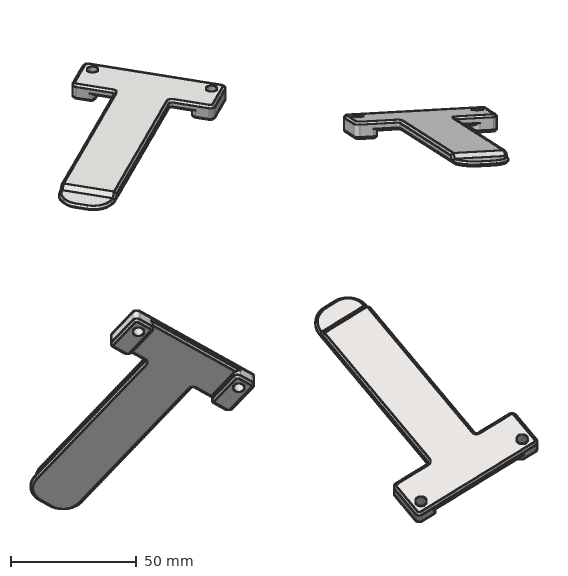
import cadquery as cq

head_width = 59.4
head_depth = 18.0
total_length = 102.0
total_height = 7.0
plate_thickness = 4.0
stem_width = 23.0

edge_chamfer = 1.0
corner_radius = 2 * edge_chamfer
neck_radius = 1.0

tip_radius = 9.0
tip_land = 0.01
slope_gap = 0.1
tip_thickness = 2 * edge_chamfer + tip_land

foot_width = 9.6
hole_diameter = 4.5
hole_inset = 4.9

plate_bottom = -plate_thickness
tip_top = plate_bottom + tip_thickness
slope_foot_y = -total_length + tip_radius + slope_gap
slope_rise = -tip_top


def block(width, depth, z_low, z_high, x_center=0.0, y_back=0.0):
    """Box given by its width, depth, height range and back edge."""
    return (
        cq.Workplane("XY", origin=(x_center, y_back - depth / 2, z_low))
        .rect(width, depth)
        .extrude(z_high - z_low)
    )


def make_plate():
    """T-shaped plate, its head still square, with a 45 degree step down to the rounded tip."""
    head = block(head_width, head_depth, plate_bottom, 0)
    stem = block(stem_width, total_length, plate_bottom, 0)
    stem = stem.edges("|Z and <Y").fillet(tip_radius)
    plate = head.union(stem)

    neck_edges = cq.selectors.BoxSelector(
        (-stem_width / 2 - neck_radius, -head_depth - neck_radius, plate_bottom),
        (stem_width / 2 + neck_radius, -head_depth + neck_radius, 0),
    )
    plate = plate.edges("|Z").edges(neck_edges).fillet(neck_radius)

    step = (
        cq.Workplane("YZ")
        .moveTo(-total_length, tip_top)
        .lineTo(slope_foot_y, tip_top)
        .lineTo(slope_foot_y + slope_rise, 0)
        .lineTo(-total_length, 0)
        .close()
        .extrude(stem_width / 2, both=True)
    )
    return plate.cut(step)


def make_foot(side):
    """Foot under one end of the head, rounded only on the side facing the stem."""
    x_center = side * (head_width - foot_width) / 2
    foot = block(foot_width, head_depth, -total_height, plate_bottom + edge_chamfer, x_center)
    inner_face = "<X" if side > 0 else ">X"
    return foot.faces(inner_face).edges("|Z").fillet(corner_radius)


def chamfer_top(body):
    """Bevel the top outline, following the slope down and around the tip."""
    slope_middle = (0, slope_foot_y + slope_rise / 2, -slope_rise / 2)
    slope = body.faces(cq.selectors.NearestToPointSelector(slope_middle))
    faces = body.faces("+Z").add(slope).vals()
    face_edges = [edge for face in faces for edge in face.Edges()]
    outline = [e for e in face_edges if sum(e.isSame(other) for other in face_edges) == 1]
    return body.newObject(outline).chamfer(edge_chamfer)


body = make_plate().faces("<Z").edges().chamfer(edge_chamfer)
for side in (-1, 1):
    body = body.union(make_foot(side))

body = body.faces("<X or >X").edges("|Z").fillet(corner_radius)
body = body.faces("<Z").edges().chamfer(edge_chamfer)
body = chamfer_top(body)

hole_x = head_width / 2 - hole_inset
holes = (
    cq.Workplane("XY", origin=(0, -hole_inset, -total_height))
    .pushPoints([(-hole_x, 0), (hole_x, 0)])
    .circle(hole_diameter / 2)
    .extrude(total_height)
)
result = body.cut(holes)